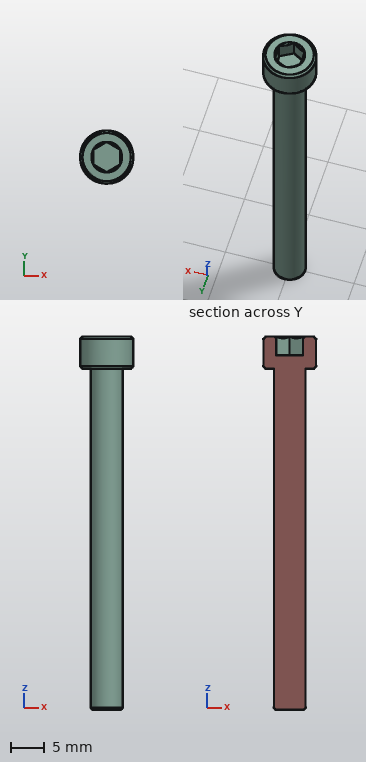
import cadquery as cq
import math

total_length = 55.65
head_diameter = 7.95
head_height = 4.85
head_chamfer = 0.4
shank_diameter = 4.85
tip_chamfer = 0.35
hex_across_flats = 3.95
socket_depth = 2.8

hex_across_corners = hex_across_flats / math.cos(math.radians(30))
countersink_depth = (hex_across_corners - hex_across_flats) / 2


def make_shank():
    shank = cq.Workplane("XY").circle(shank_diameter / 2).extrude(total_length - head_height)
    return shank.faces("<Z").chamfer(tip_chamfer)


def make_head():
    head = (
        cq.Workplane("XY")
        .workplane(offset=total_length - head_height)
        .circle(head_diameter / 2)
        .extrude(head_height)
    )
    return head.edges("%CIRCLE").chamfer(head_chamfer)


def make_socket():
    top = cq.Workplane("XY").workplane(offset=total_length)
    hexagon = top.transformed(rotate=(0, 0, 30)).polygon(6, hex_across_corners).extrude(-socket_depth)
    countersink = (
        top.circle(hex_across_corners / 2)
        .workplane(offset=-countersink_depth)
        .circle(hex_across_flats / 2)
        .loft()
    )
    return hexagon.union(countersink)


result = make_shank().union(make_head()).cut(make_socket())